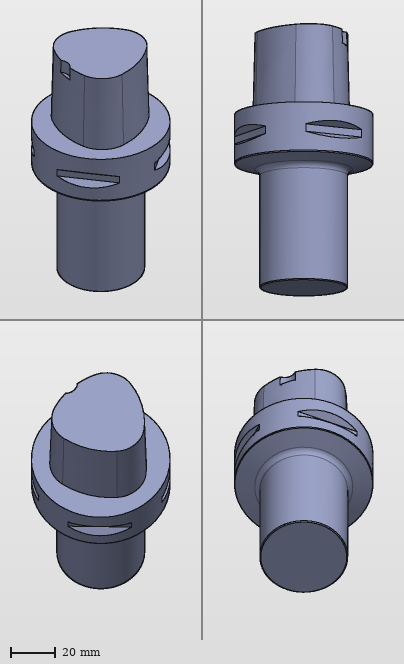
import cadquery as cq
import math

total_height = 118.0
flange_top = 80.0
flange_bottom = 57.1
shank_chamfer = 0.5
flange_chamfer = 0.6
flange_chamfer_inset = 0.2

flange_radius = 63.0 / 2
shank_radius = 40.0 / 2
cone_angle = math.radians(15)
neck_fillet = 3.1

lobe_radius = 14.3
lobe_offset = 9.2
side_distance = 20.3
top_inset = 1.0

slot_count = 4
slot_floor_distance = 28.0
slot_floor_height = 3.4
slot_mouth_height = 7.8
slot_center_z = 68.1

notch_radius = 5.3
notch_axis_y = -23.0
notch_depth = 6.4


def make_round_body():
    """Shank, filleted conical neck and flange, turned about Z."""
    cone_outer_radius = flange_radius - flange_chamfer_inset
    cone_drop = (cone_outer_radius - shank_radius) * math.tan(cone_angle)
    corner_z = flange_bottom - cone_drop
    turn = math.pi / 2 - cone_angle
    tangent_length = neck_fillet * math.tan(turn / 2)
    fillet_center_x = shank_radius + neck_fillet
    fillet_center_z = corner_z - tangent_length
    fillet_middle = (
        fillet_center_x - neck_fillet * math.cos(turn / 2),
        fillet_center_z + neck_fillet * math.sin(turn / 2),
    )
    fillet_end = (
        fillet_center_x - neck_fillet * math.cos(turn),
        fillet_center_z + neck_fillet * math.sin(turn),
    )
    return (
        cq.Workplane("XZ")
        .moveTo(0, 0)
        .lineTo(shank_radius - shank_chamfer, 0)
        .lineTo(shank_radius, shank_chamfer)
        .lineTo(shank_radius, fillet_center_z)
        .threePointArc(fillet_middle, fillet_end)
        .lineTo(cone_outer_radius, flange_bottom)
        .lineTo(flange_radius, flange_bottom + flange_chamfer)
        .lineTo(flange_radius, flange_top)
        .lineTo(0, flange_top)
        .close()
        .revolve(360, (0, 0, 0), (0, 1, 0))
    )


def polar(radius, angle):
    return cq.Vector(radius * math.cos(angle), radius * math.sin(angle), 0)


def make_lobed_wire(inset, z):
    """Closed outline of three lobes and three sides, moved inwards by inset."""
    gap = side_distance - lobe_radius
    side_offset = (lobe_offset**2 - gap**2) / (2 * gap - lobe_offset)
    side_radius = side_distance + side_offset
    lobe_half_chord = lobe_offset * math.sin(math.pi / 3)
    side_half_angle = math.asin(lobe_half_chord / (side_radius - lobe_radius))
    lift = cq.Vector(0, 0, z)
    edges = []
    for index in range(3):
        side_angle = -math.pi / 2 + index * math.tau / 3
        lobe_angle = side_angle + math.pi / 3
        next_side_angle = side_angle + math.tau / 3
        side_center = polar(-side_offset, side_angle) + lift
        next_side_center = polar(-side_offset, next_side_angle) + lift
        reach = side_radius - inset
        side_start = side_center + polar(reach, side_angle - side_half_angle)
        side_middle = side_center + polar(reach, side_angle)
        side_end = side_center + polar(reach, side_angle + side_half_angle)
        lobe_middle = polar(lobe_offset + lobe_radius - inset, lobe_angle) + lift
        lobe_end = next_side_center + polar(reach, next_side_angle - side_half_angle)
        edges.append(cq.Edge.makeThreePointArc(side_start, side_middle, side_end))
        edges.append(cq.Edge.makeThreePointArc(side_end, lobe_middle, lobe_end))
    return cq.Wire.assembleEdges(edges)


def make_lobed_shank():
    base = make_lobed_wire(0, flange_top)
    top = make_lobed_wire(top_inset, total_height)
    return cq.Workplane(cq.Solid.makeLoft([base, top], True))


def make_slot_cutter():
    """Straight slot on the +X side that flares from its floor to the rim."""
    floor_half = slot_floor_height / 2
    mouth_half = slot_mouth_height / 2
    return (
        cq.Workplane("XZ")
        .polyline([
            (slot_floor_distance, slot_center_z - floor_half),
            (flange_radius, slot_center_z - mouth_half),
            (flange_radius, slot_center_z + mouth_half),
            (slot_floor_distance, slot_center_z + floor_half),
        ])
        .close()
        .extrude(flange_radius, both=True)
    )


def make_notch_cutter():
    return (
        cq.Workplane("XY")
        .workplane(offset=total_height - notch_depth)
        .center(0, notch_axis_y)
        .circle(notch_radius)
        .extrude(notch_depth)
    )


result = make_round_body().union(make_lobed_shank())
slot_cutter = make_slot_cutter()
slot_spacing = 360 / slot_count
for slot_index in range(slot_count):
    slot_angle = (slot_index + 0.5) * slot_spacing
    result = result.cut(slot_cutter.rotate((0, 0, 0), (0, 0, 1), slot_angle))
result = result.cut(make_notch_cutter())